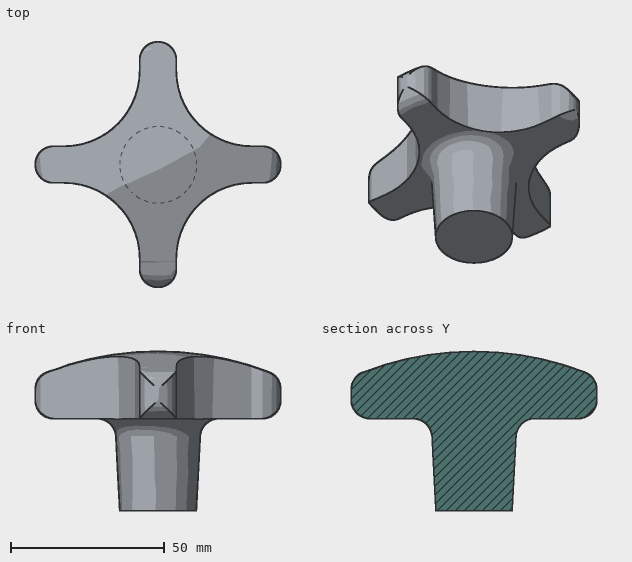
import cadquery as cq
import math

COS_45 = math.cos(math.pi / 4)
ARM_COUNT = 4

span = 80.0
total_height = 52.0

hub_height = 30.0
hub_base_radius = 12.5
hub_draft = math.radians(3.0)
hub_blend_radius = 6.0

arm_width = 12.0
tip_radius = arm_width / 2
valley_radius = 24.5
rim_radius = 6.0
dome_radius = 100.0

head_radius = span / 2
tip_center = head_radius - tip_radius
rim_center = head_radius - rim_radius


def make_head_blank():
    """Domed disc whose rim is rounded tangent to the dome and to the flat underside."""
    dome_center_z = total_height - dome_radius
    rim_reach = dome_radius - rim_radius
    upper_rim_z = dome_center_z + math.sqrt(rim_reach**2 - rim_center**2)
    lower_rim_z = hub_height + rim_radius
    dome_edge_angle = math.asin(rim_center / rim_reach)
    rim_mid_angle = (math.pi / 2 + dome_edge_angle) / 2

    def dome_point(angle):
        return dome_radius * math.sin(angle), dome_center_z + dome_radius * math.cos(angle)

    upper_rim_mid = (
        rim_center + rim_radius * math.sin(rim_mid_angle),
        upper_rim_z + rim_radius * math.cos(rim_mid_angle),
    )
    lower_rim_mid = (rim_center + rim_radius * COS_45, lower_rim_z - rim_radius * COS_45)
    return (
        cq.Workplane("XZ")
        .moveTo(0, hub_height)
        .lineTo(rim_center, hub_height)
        .threePointArc(lower_rim_mid, (head_radius, lower_rim_z))
        .lineTo(head_radius, upper_rim_z)
        .threePointArc(upper_rim_mid, dome_point(dome_edge_angle))
        .threePointArc(dome_point(dome_edge_angle / 2), (0, total_height))
        .close()
        .revolve(360, (0, 0, 0), (0, 1, 0))
    )


def make_cross():
    """Four round-tipped arms joined by concave valleys, as a prism over the full part height."""
    half_width = arm_width / 2
    valley_center = half_width + valley_radius
    valley_mid = valley_center - valley_radius * COS_45

    def turned(point, quarter):
        """The point after the given number of quarter turns about the part axis."""
        x, y = point
        for _ in range(quarter):
            x, y = -y, x
        return x, y

    outline = cq.Workplane("XY").moveTo(tip_center, -half_width)
    for quarter in range(ARM_COUNT):
        tip_end = turned((tip_center, half_width), quarter)
        valley_start = turned((valley_center, half_width), quarter)
        valley_end = turned((half_width, valley_center), quarter)
        next_tip = turned((half_width, tip_center), quarter)
        outline = (
            outline.threePointArc(turned((head_radius, 0), quarter), tip_end)
            .lineTo(*valley_start)
            .threePointArc(turned((valley_mid, valley_mid), quarter), valley_end)
            .lineTo(*next_tip)
        )
    return outline.close().extrude(total_height)


def make_hub():
    """Tapered round hub that flares tangent into the underside of the arms."""
    blend_center_z = hub_height - hub_blend_radius
    blend_start_z = blend_center_z + hub_blend_radius * math.sin(hub_draft)
    blend_start_radius = hub_base_radius + blend_start_z * math.tan(hub_draft)
    blend_center_radius = blend_start_radius + hub_blend_radius * math.cos(hub_draft)
    blend_mid_angle = (math.pi / 2 + hub_draft) / 2
    blend_mid = (
        blend_center_radius - hub_blend_radius * math.cos(blend_mid_angle),
        blend_center_z + hub_blend_radius * math.sin(blend_mid_angle),
    )
    return (
        cq.Workplane("XZ")
        .lineTo(hub_base_radius, 0)
        .lineTo(blend_start_radius, blend_start_z)
        .threePointArc(blend_mid, (blend_center_radius, hub_height))
        .lineTo(0, hub_height)
        .close()
        .revolve(360, (0, 0, 0), (0, 1, 0))
    )


result = make_head_blank().union(make_hub()).intersect(make_cross())